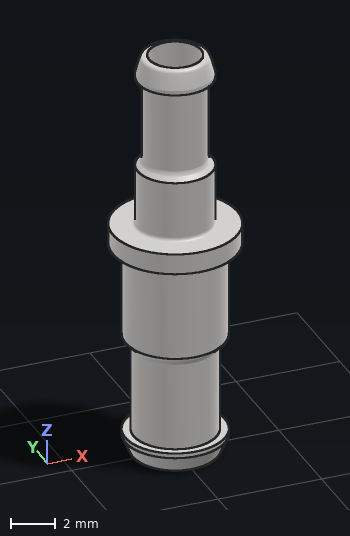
import cadquery as cq

height = 20.0
bore_radius = 2.5 / 2
flange_radius = 6.0 / 2
upper_tube_radius = 3.0 / 2
upper_body_radius = 3.6 / 2
lower_tube_radius = 4.0 / 2
lower_body_radius = 4.8 / 2

flange_top = 11.5
flange_thickness = 1.0
flange_bottom = flange_top - flange_thickness

upper_shoulder_start = 14.45
upper_shoulder_end = upper_shoulder_start + upper_body_radius - upper_tube_radius
lower_shoulder_start = 5.9
lower_shoulder_end = lower_shoulder_start - (lower_body_radius - lower_tube_radius)

upper_barb_height = 1.1
upper_barb_land = 0.2
upper_tip_radius = 1.52
upper_barb_bulge = 0.02
lower_barb_height = 1.12
lower_barb_land = 0.25
lower_tip_radius = 2.02

tip_fillet = 0.2
shoulder_fillet = 0.3
flange_top_fillet = 0.2
flange_bottom_fillet = 0.4

upper_barb_base = height - upper_barb_height
upper_taper_start = upper_barb_base + upper_barb_land
lower_taper_start = lower_barb_height - lower_barb_land

upper_taper_middle = (
    (upper_body_radius + upper_tip_radius) / 2 + upper_barb_bulge,
    (upper_taper_start + height) / 2,
)


def turned_body():
    """Solid of revolution with sharp corners, drawn from the bottom up as (radius, height)."""
    profile = (
        cq.Workplane("XZ")
        .lineTo(lower_tip_radius, 0)
        .lineTo(lower_body_radius, lower_taper_start)
        .lineTo(lower_body_radius, lower_barb_height)
        .lineTo(lower_tube_radius, lower_barb_height)
        .lineTo(lower_tube_radius, lower_shoulder_end)
        .lineTo(lower_body_radius, lower_shoulder_start)
        .lineTo(lower_body_radius, flange_bottom)
        .lineTo(flange_radius, flange_bottom)
        .lineTo(flange_radius, flange_top)
        .lineTo(upper_body_radius, flange_top)
        .lineTo(upper_body_radius, upper_shoulder_start)
        .lineTo(upper_tube_radius, upper_shoulder_end)
        .lineTo(upper_tube_radius, upper_barb_base)
        .lineTo(upper_body_radius, upper_barb_base)
        .lineTo(upper_body_radius, upper_taper_start)
        .threePointArc(upper_taper_middle, (upper_tip_radius, height))
        .lineTo(0, height)
        .close()
    )
    return profile.revolve(360, (0, 0), (0, 1))


def fillet_ring(body, ring_radius, ring_height, fillet_radius):
    """Fillet the circular edge of the given radius and height."""
    tolerance = 0.002
    outer = ring_radius + tolerance
    selector = cq.selectors.BoxSelector(
        (-outer, -outer, ring_height - tolerance),
        (outer, outer, ring_height + tolerance),
        boundingbox=True,
    )
    return body.edges(selector).fillet(fillet_radius)


fillets = (
    (lower_tip_radius, 0, tip_fillet),
    (lower_tube_radius, lower_shoulder_end, shoulder_fillet),
    (lower_body_radius, flange_bottom, flange_bottom_fillet),
    (upper_body_radius, flange_top, flange_top_fillet),
    (upper_tube_radius, upper_shoulder_end, shoulder_fillet),
    (upper_tip_radius, height, tip_fillet),
)

fitting = turned_body()
for ring_radius, ring_height, fillet_radius in fillets:
    fitting = fillet_ring(fitting, ring_radius, ring_height, fillet_radius)

bore = cq.Workplane("XY").circle(bore_radius).extrude(height)
result = fitting.cut(bore)